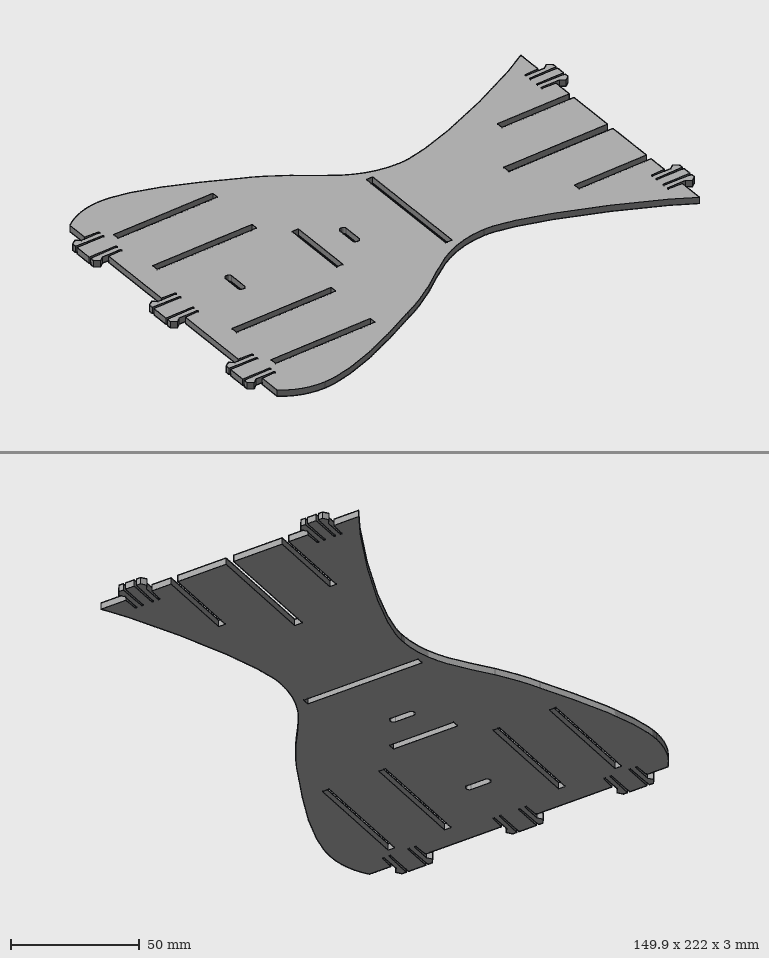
import cadquery as cq

thickness = 3.0
plate_length = 209.0
max_half_width = 74.935
max_width_y = 18.3
bottom_half_width = 68.6
top_half_width = 59.2
waist_half_width = 27.7
waist_y = 128.5

waist_end = (45.8, 89.2)
flank_start = (55.6, 72.2)

waist_upper_handle = 18.5
waist_lower_handle = 19.0
top_handle = (50.6, 196.0)
waist_end_handle = (39.6, 98.2)
transition_handles = [(49.4, 83.8), (53.0, 78.2)]
flank_handle = (58.2, 66.2)
max_width_handle = 18.7

slot_width = 3.0
lower_slot_y = (10.1, 57.6)
lower_slot_x = (26.2, 52.1)
cross_slots = [(52.5, 112.8), (29.5, 68.9)]
tie_slot_length = 11.0
tie_slot_y = (29.4, 84.2)
tie_slot_corner_radius = 1.3
top_slot_x = 25.5
top_slot_depth = 34.5
middle_slot_width = 3.5
middle_slot_depth = 49.7

tab_length = 6.5
relief_depth = 6.5
slit_root_width = 0.7
slit_mouth_width = 1.0
arm_width = 2.25
barb_start = 2.3
barb_peak = 4.3
barb_height = 1.6
bottom_tab_x = (-50.8, 0.0, 50.8)
bottom_tongue_half_width = 4.0
top_tab_x = (-41.8, 41.8)
top_tongue_half_width = 2.0


def prism(outline):
    """Extrude a closed outline to the plate thickness."""
    return outline.close().extrude(thickness)


def box(x_center, y_center, x_size, y_size):
    """Block of plate thickness centred at the given X and Y."""
    return cq.Workplane("XY").center(x_center, y_center).rect(x_size, y_size).extrude(thickness)


def make_plate():
    """Hourglass plate: one half outlined on +X and mirrored."""
    waist = (waist_half_width, waist_y)
    widest = (max_half_width, max_width_y)
    corner_inset = max_half_width - bottom_half_width
    corner_radius = (corner_inset**2 + max_width_y**2) / (2 * corner_inset)
    half = prism(
        cq.Workplane("XY")
        .lineTo(0, plate_length)
        .lineTo(top_half_width, plate_length)
        .bezier([
            (top_half_width, plate_length),
            top_handle,
            (waist_half_width, waist_y + waist_upper_handle),
            waist,
        ])
        .bezier([waist, (waist_half_width, waist_y - waist_lower_handle), waist_end_handle, waist_end])
        .bezier([waist_end, *transition_handles, flank_start])
        .bezier([flank_start, flank_handle, (max_half_width, max_width_y + max_width_handle), widest])
        .radiusArc((bottom_half_width, 0), corner_radius)
    )
    return half.union(half.mirror("YZ"))


def cut_slots(plate):
    """Cut the closed slots and the slots open at the top edge."""
    y_low, y_high = lower_slot_y
    for x in lower_slot_x:
        for side in (-1, 1):
            plate = plate.cut(box(side * x, (y_low + y_high) / 2, slot_width, y_high - y_low))
    for length, y in cross_slots:
        plate = plate.cut(box(0, y, length, slot_width))
    for y in tie_slot_y:
        tie_slot = box(0, y, tie_slot_length, slot_width)
        plate = plate.cut(tie_slot.edges("|Z").fillet(tie_slot_corner_radius))
    for x in (-top_slot_x, top_slot_x):
        plate = plate.cut(box(x, plate_length - top_slot_depth / 2, slot_width, top_slot_depth))
    return plate.cut(box(0, plate_length - middle_slot_depth / 2, middle_slot_width, middle_slot_depth))


def make_tab(tongue_half_width):
    """Return the relief opening and the tab that fills it.

    The tab is centred on X = 0, points toward -Y and starts at the plate edge Y = 0.
    """
    slit_growth = slit_mouth_width - slit_root_width
    arm_root_inner = tongue_half_width + slit_root_width
    arm_tip_inner = tongue_half_width + slit_mouth_width
    arm_outer = arm_root_inner + arm_width
    relief_root = arm_outer + slit_root_width
    relief_mouth = relief_root + slit_growth

    relief = prism(
        cq.Workplane("XY").polyline([
            (-relief_root, relief_depth),
            (relief_root, relief_depth),
            (relief_mouth, 0),
            (-relief_mouth, 0),
        ])
    )
    tongue_length = relief_depth + tab_length
    tab = box(0, relief_depth - tongue_length / 2, 2 * tongue_half_width, tongue_length)
    arm = prism(
        cq.Workplane("XY").polyline([
            (arm_root_inner, relief_depth),
            (arm_outer, relief_depth),
            (arm_outer, -barb_start),
            (arm_outer + barb_height, -barb_peak),
            (arm_outer, -tab_length),
            (arm_tip_inner, -tab_length),
        ])
    )
    return relief, tab.union(arm).union(arm.mirror("YZ"))


def add_tabs(plate):
    """Add the snap tabs along the bottom and top edges."""
    relief, tab = make_tab(bottom_tongue_half_width)
    for x in bottom_tab_x:
        place = (x, 0, 0)
        plate = plate.cut(relief.translate(place)).union(tab.translate(place))

    relief, tab = [shape.mirror("XZ") for shape in make_tab(top_tongue_half_width)]
    for x in top_tab_x:
        place = (x, plate_length, 0)
        plate = plate.cut(relief.translate(place)).union(tab.translate(place))
    return plate


result = add_tabs(cut_slots(make_plate())).solids()